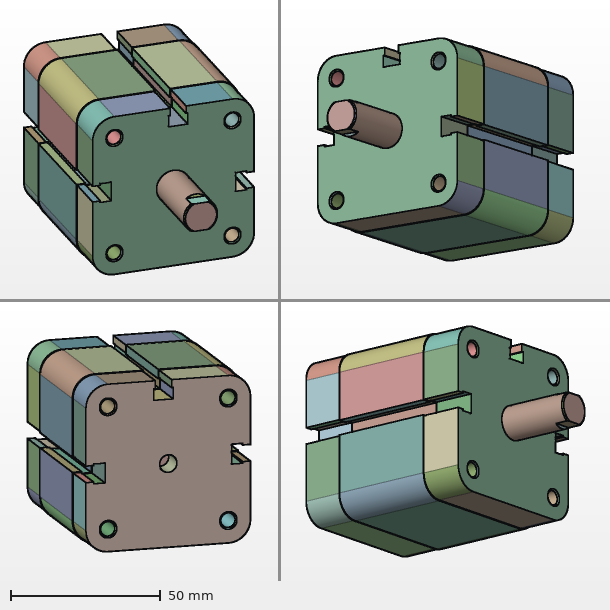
import cadquery as cq


OVERALL_LENGTH = 92.5
REAR_CAP_LENGTH = 14.5
BARREL_LENGTH = 36.6
FRONT_CAP_LENGTH = 14.9
BODY_LENGTH = REAR_CAP_LENGTH + BARREL_LENGTH + FRONT_CAP_LENGTH
ROD_LENGTH = OVERALL_LENGTH - BODY_LENGTH

BARREL_SIDE = 58.0
CORNER_RADIUS = 8.0
CAP_INSET = 0.25

SLOT_OFFSET = 1.7
SLOT_MOUTH_WIDTH = 5.2
SLOT_INNER_WIDTH = 6.3
SLOT_LIP_DEPTH = 3.2
SLOT_DEPTH = 6.7
SLOT_TURNS = (0, 90, -90)

BOLT_PITCH = 42.0
BOLT_HOLE_DIAMETER = 5.0
BOLT_HOLE_CHAMFER = 0.51
CHAMFER_CONE_ANGLE = 90.0
CENTRE_HOLE_DIAMETER = 6.0
CENTRE_HOLE_DEPTH = 9.25

ROD_DIAMETER = 12.0
ROD_CHAMFER = 0.5
FLATS_LENGTH = 5.1
FLATS_END_SLOPE = 0.3
ACROSS_FLATS = 10.0


def slot_cutter(length, start, inset):
    """Stepped slot on the +Z side, with its walls moved outwards by the inset."""
    half_side = BARREL_SIDE / 2
    mouth_width = SLOT_MOUTH_WIDTH + 2 * inset
    inner_width = SLOT_INNER_WIDTH + 2 * inset
    floor_z = half_side - SLOT_DEPTH - inset
    step_z = half_side - SLOT_LIP_DEPTH + inset
    centred_across = (False, True, False)
    slot_plane = cq.Workplane("XY", origin=(start, SLOT_OFFSET, floor_z))
    mouth = slot_plane.box(length, mouth_width, half_side - floor_z, centered=centred_across)
    inner = slot_plane.box(length, inner_width, step_z - floor_z, centered=centred_across)
    return mouth.union(inner)


def body_block(start, length, inset=0.0):
    """Rounded square block along X with the sensor slots."""
    side = BARREL_SIDE - 2 * inset
    block = (
        cq.Workplane("YZ", origin=(start, 0, 0))
        .rect(side, side)
        .extrude(length)
        .edges("|X")
        .fillet(CORNER_RADIUS - inset)
    )
    for turn in SLOT_TURNS:
        slot = slot_cutter(length, start, inset)
        block = block.cut(slot.rotate((0, 0, 0), (1, 0, 0), turn))
    return block


def bolt_points(block, face):
    """The four bolt positions on an end face of a block."""
    return (
        block.faces(face)
        .workplane(origin=(0, 0, 0))
        .rect(BOLT_PITCH, BOLT_PITCH, forConstruction=True)
        .vertices()
    )


def drill_chamfered_bolt_holes(cap, outer_face):
    """Bolt holes through a cap, with a 45 degree chamfer at the outer face."""
    mouth_diameter = BOLT_HOLE_DIAMETER + 2 * BOLT_HOLE_CHAMFER
    return bolt_points(cap, outer_face).cskHole(BOLT_HOLE_DIAMETER, mouth_diameter, CHAMFER_CONE_ANGLE)


def make_rear_cap():
    cap = body_block(0, REAR_CAP_LENGTH, CAP_INSET)
    cap = drill_chamfered_bolt_holes(cap, "<X")
    centre_hole = cq.Workplane("YZ").circle(CENTRE_HOLE_DIAMETER / 2).extrude(CENTRE_HOLE_DEPTH)
    return cap.cut(centre_hole)


def make_barrel():
    barrel = body_block(REAR_CAP_LENGTH, BARREL_LENGTH)
    return bolt_points(barrel, ">X").hole(BOLT_HOLE_DIAMETER)


def make_front_cap():
    cap = body_block(REAR_CAP_LENGTH + BARREL_LENGTH, FRONT_CAP_LENGTH, CAP_INSET)
    return drill_chamfered_bolt_holes(cap, ">X")


def make_rod():
    """Piston rod standing on the front face, with two wrench flats facing +Z and -Z."""
    rod = (
        cq.Workplane("YZ", origin=(BODY_LENGTH, 0, 0))
        .circle(ROD_DIAMETER / 2)
        .extrude(ROD_LENGTH)
        .faces(">X")
        .chamfer(ROD_CHAMFER)
    )
    flat_z = ACROSS_FLATS / 2
    rod_radius = ROD_DIAMETER / 2
    flat_start = OVERALL_LENGTH - FLATS_LENGTH
    flat_cutter = (
        cq.Workplane("XZ")
        .moveTo(OVERALL_LENGTH, flat_z)
        .lineTo(flat_start, flat_z)
        .lineTo(flat_start - FLATS_END_SLOPE, rod_radius)
        .lineTo(OVERALL_LENGTH, rod_radius)
        .close()
        .extrude(rod_radius, both=True)
    )
    return rod.cut(flat_cutter).cut(flat_cutter.mirror("XY"))


rear_cap = make_rear_cap()
barrel = make_barrel()
front_cap = make_front_cap()
rod = make_rod()

result = cq.Compound.makeCompound([rear_cap.val(), barrel.val(), front_cap.val(), rod.val()])